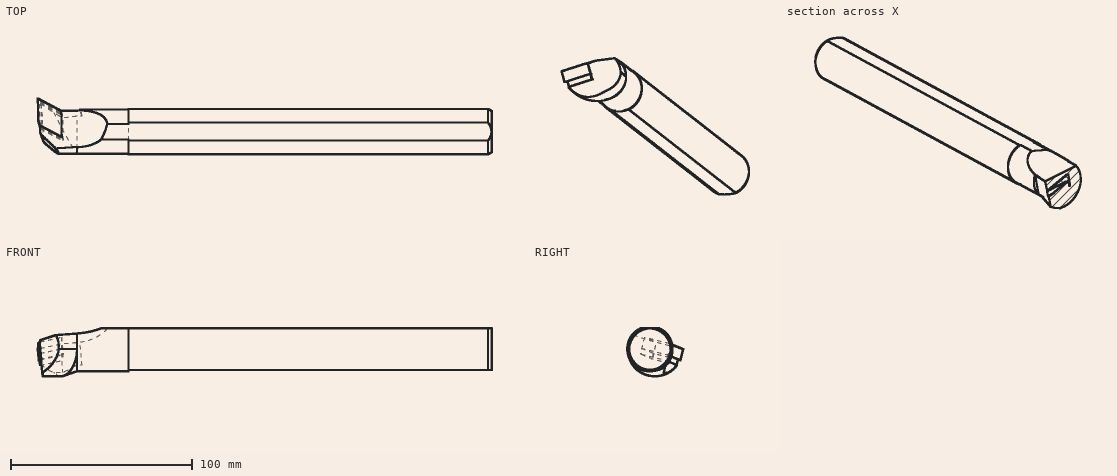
import cadquery as cq
import math


bar_length = 249.92
shank_radius = 12.5
flat_height = 11.5
shank_start = 50.0
rear_chamfer_length = 2.0
rear_chamfer_depth = 1.15
neck_radius = 12.25

head_upper_radius = 12.05
head_radius = 15.0
head_center_y = head_radius - neck_radius
taper_end_x = 21.6
taper_angle = 19.0
taper_radius_at_tip = neck_radius + taper_end_x * math.tan(math.radians(taper_angle))

tip_y = 18.35
rise_along_x = math.tan(math.radians(5.2))
drop_along_y = math.tan(math.radians(14.0))
top_plane = cq.Plane(
    origin=(0, tip_y, 0),
    xDir=(1 + drop_along_y**2, rise_along_x * drop_along_y, rise_along_x),
    normal=(-rise_along_x, drop_along_y, 1),
)

insert_width = 13.0
insert_side_lean = 0.35
insert_edge = 14.7
insert_slope = math.tan(math.radians(29.5))
insert_thickness = 6.35
corner_cut_start = 13.3
corner_cut_width = 0.9
shim_thickness = 3.18
shim_inset = 0.3
shim_nose_radius = 1.2

end_x = 1.2
end_round_radius = 4.0
end_corner_y = -19.9
side_flat_y = -7.35
side_flat_end_x = 23.3
side_inset = 0.3

disc_center_x = -1.0
disc_center_y = -18.0
disc_radius = 26.0
rim_radius = 24.5

cut_margin = 30.0


def make_shank():
    shank = (
        cq.Workplane("YZ", origin=(shank_start, 0, 0))
        .circle(shank_radius)
        .extrude(bar_length - shank_start)
        .faces(">X")
        .chamfer(rear_chamfer_length, rear_chamfer_depth)
    )
    between_flats = cq.Workplane().box(2 * bar_length, 2 * cut_margin, 2 * flat_height)
    return shank.intersect(between_flats)


def make_neck():
    neck = (
        cq.Workplane("YZ", origin=(taper_end_x, 0, 0))
        .circle(neck_radius)
        .extrude(shank_start - taper_end_x)
    )
    below_flat = cq.Workplane().box(2 * bar_length, 2 * cut_margin, 2 * cut_margin)
    return neck.intersect(below_flat.translate((0, 0, flat_height - cut_margin)))


def make_head():
    lower_half = (
        cq.Workplane("YZ")
        .moveTo(head_center_y - head_radius, 0)
        .threePointArc((head_center_y, -head_radius), (head_center_y + head_radius, 0))
        .close()
        .extrude(taper_end_x)
    )
    taper = (
        cq.Workplane("XY")
        .polyline([(0, 0), (0, taper_radius_at_tip), (taper_end_x, neck_radius), (taper_end_x, 0)])
        .close()
        .revolve(360, (0, 0, 0), (1, 0, 0))
    )
    upper_core = cq.Workplane("YZ").circle(head_upper_radius).extrude(taper_end_x)
    return lower_half.intersect(taper).union(upper_core)


def make_end_envelope():
    """Space kept by the head: end face, rounded 45 degree corner, sloped side and side flat."""
    slope_end_x = (-side_flat_y - side_inset) / insert_slope
    outline = [
        (end_x, -side_inset - end_x * insert_slope),
        (end_x, end_corner_y),
        (end_x + cut_margin, end_corner_y - cut_margin),
        (bar_length, end_corner_y - cut_margin),
        (bar_length, cut_margin),
        (side_flat_end_x, cut_margin),
        (side_flat_end_x, side_flat_y),
        (slope_end_x, side_flat_y),
    ]
    envelope = (
        cq.Workplane(top_plane)
        .workplane(offset=-2 * cut_margin)
        .polyline(outline)
        .close()
        .extrude(4 * cut_margin)
    )
    corner = cq.selectors.NearestToPointSelector(
        top_plane.toWorldCoords((end_x, end_corner_y, 0)).toTuple()
    )
    return envelope.edges(corner).fillet(end_round_radius)


def make_top_clearance():
    rim_mid_angle = math.radians(45)
    rim_reach = disc_radius + rim_radius
    rim_middle = (
        disc_radius + rim_radius * math.sin(rim_mid_angle),
        rim_radius * (1 - math.cos(rim_mid_angle)),
    )
    section_plane = cq.Plane(
        origin=top_plane.toWorldCoords((disc_center_x, disc_center_y, 0)),
        xDir=top_plane.xDir,
        normal=-top_plane.yDir,
    )
    return (
        cq.Workplane(section_plane)
        .lineTo(disc_radius, 0)
        .threePointArc(rim_middle, (rim_reach, rim_radius))
        .lineTo(0, rim_radius)
        .close()
        .revolve(360, (0, 0, 0), (0, 1, 0))
    )


def insert_outline():
    end_side_x = insert_width + insert_side_lean
    return [
        (0, 0),
        (insert_side_lean, -corner_cut_start),
        (corner_cut_width, -insert_edge - corner_cut_width * insert_slope),
        (end_side_x, -insert_edge - end_side_x * insert_slope),
        (insert_width, -insert_width * insert_slope),
    ]


def make_insert():
    return cq.Workplane(top_plane).polyline(insert_outline()).close().extrude(-insert_thickness)


def shim_seat_outline():
    return cq.Workplane(top_plane).workplane(offset=-insert_thickness).polyline(insert_outline()).close()


def make_shim_seat():
    return shim_seat_outline().extrude(-shim_thickness)


def make_shim():
    shim = shim_seat_outline().offset2D(-shim_inset).extrude(-shim_thickness)
    nose = cq.selectors.NearestToPointSelector(
        top_plane.toWorldCoords((0, 0, -insert_thickness - shim_thickness / 2)).toTuple()
    )
    return shim.edges(nose).fillet(shim_nose_radius)


insert = make_insert()
front_part = make_neck().union(make_head()).intersect(make_end_envelope()).cut(make_top_clearance())
bar = (
    make_shank()
    .union(front_part)
    .cut(insert)
    .cut(make_shim_seat())
    .union(make_shim())
)

result = cq.Compound.makeCompound([bar.solids().val(), insert.val()])